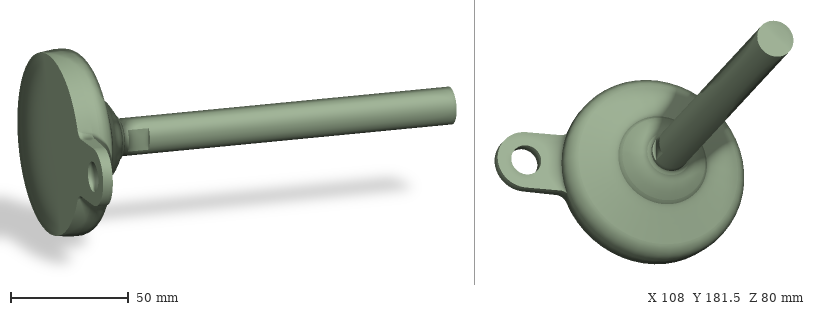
import cadquery as cq
import math

total_length = 181.5

foot_diameter = 80.0
foot_radius = foot_diameter / 2
foot_bottom_radius = 39.2
rim_bottom = 6.2
rim_top = 9.5
shoulder_radius = 6.9
shoulder_slope = math.radians(21)
hub_bottom = 22.0
seat_height = 23.6
seat_radius = 18.5

overall_width = 108.0
lug_radius = 12.5
lug_hole_radius = 6.5
lug_root_height = 6.0
lug_tip_height = 4.4
lug_tip = overall_width - foot_radius
lug_center = lug_tip - lug_radius
lug_root_fillet = 5.0

stem_diameter = 16.2
stem_radius = stem_diameter / 2
collar_radius = 9.6
collar_top = 31.5
collar_edge = 30.7
dome_top = 30.1
dome_top_radius = 9.3
flat_bottom = 33.4
flat_top = 42.8
across_flats = 13.0


def make_foot_disc():
    """Round foot: tapered skirt, rim, rounded shoulder, sloping top and short hub."""
    arc_center = foot_radius - shoulder_radius

    def shoulder_point(angle):
        return (
            arc_center + shoulder_radius * math.cos(angle),
            rim_top + shoulder_radius * math.sin(angle),
        )

    arc_end_angle = math.pi / 2 - shoulder_slope
    shoulder_end = shoulder_point(arc_end_angle)
    hub_radius = shoulder_end[0] - (hub_bottom - shoulder_end[1]) / math.tan(shoulder_slope)
    profile = (
        cq.Workplane("XY")
        .lineTo(foot_bottom_radius, 0)
        .lineTo(foot_radius, rim_bottom)
        .lineTo(foot_radius, rim_top)
        .threePointArc(shoulder_point(arc_end_angle / 2), shoulder_end)
        .lineTo(hub_radius, hub_bottom)
        .lineTo(seat_radius, seat_height)
        .lineTo(0, seat_height)
        .close()
    )
    return profile.revolve(360, (0, 0, 0), (0, 1, 0))


def make_lug():
    """Round-ended lug, blended into the foot's bottom edge and thinner towards its tip."""
    arc_center_z = lug_radius + lug_root_fillet
    center_distance = foot_bottom_radius + lug_root_fillet
    arc_center_x = math.sqrt(center_distance**2 - arc_center_z**2)
    root_x = arc_center_x * foot_bottom_radius / center_distance
    root_z = arc_center_z * foot_bottom_radius / center_distance
    middle_angle = (math.atan2(-arc_center_z, -arc_center_x) - math.pi / 2) / 2
    middle_x = arc_center_x + lug_root_fillet * math.cos(middle_angle)
    middle_z = arc_center_z + lug_root_fillet * math.sin(middle_angle)
    outline = (
        cq.Workplane("XZ")
        .lineTo(root_x, -root_z)
        .threePointArc((middle_x, -middle_z), (arc_center_x, -lug_radius))
        .lineTo(lug_center, -lug_radius)
        .threePointArc((lug_tip, 0), (lug_center, lug_radius))
        .lineTo(arc_center_x, lug_radius)
        .threePointArc((middle_x, middle_z), (root_x, root_z))
        .close()
        .extrude(-lug_root_height)
    )
    wedge = (
        cq.Workplane("XY")
        .lineTo(lug_tip, 0)
        .lineTo(lug_tip, lug_tip_height)
        .lineTo(foot_radius, lug_root_height)
        .lineTo(0, lug_root_height)
        .close()
        .extrude(foot_radius, both=True)
    )
    return outline.intersect(wedge)


def make_foot():
    """Foot disc with its lug, drilled near the lug's tip."""
    foot = make_foot_disc().union(make_lug())
    hole = (
        cq.Workplane("XZ")
        .center(lug_center, 0)
        .circle(lug_hole_radius)
        .extrude(-lug_root_height)
    )
    return foot.cut(hole)


def make_stem():
    """Rod with a sharp collar and a domed base resting on the foot, and two wrench flats."""
    sphere_center = (dome_top_radius**2 + dome_top**2 - seat_radius**2 - seat_height**2) / (
        2 * (dome_top - seat_height)
    )
    sphere_radius = math.hypot(seat_radius, seat_height - sphere_center)
    dome_middle = (seat_height + dome_top) / 2
    dome_middle_radius = math.sqrt(sphere_radius**2 - (dome_middle - sphere_center) ** 2)
    stem = (
        cq.Workplane("XY")
        .moveTo(0, seat_height)
        .lineTo(seat_radius, seat_height)
        .threePointArc((dome_middle_radius, dome_middle), (dome_top_radius, dome_top))
        .lineTo(collar_radius, collar_edge)
        .lineTo(stem_radius, collar_top)
        .lineTo(stem_radius, total_length)
        .lineTo(0, total_length)
        .close()
        .revolve(360, (0, 0, 0), (0, 1, 0))
    )
    flat_length = flat_top - flat_bottom
    for side in (-1, 1):
        cutter = (
            cq.Workplane("XY")
            .box(stem_radius, flat_length, 2 * stem_radius)
            .translate((side * (across_flats + stem_radius) / 2, (flat_bottom + flat_top) / 2, 0))
        )
        stem = stem.cut(cutter)
    return stem


foot = make_foot()
stem = make_stem()
result = cq.Compound.makeCompound([foot.val(), stem.val()])